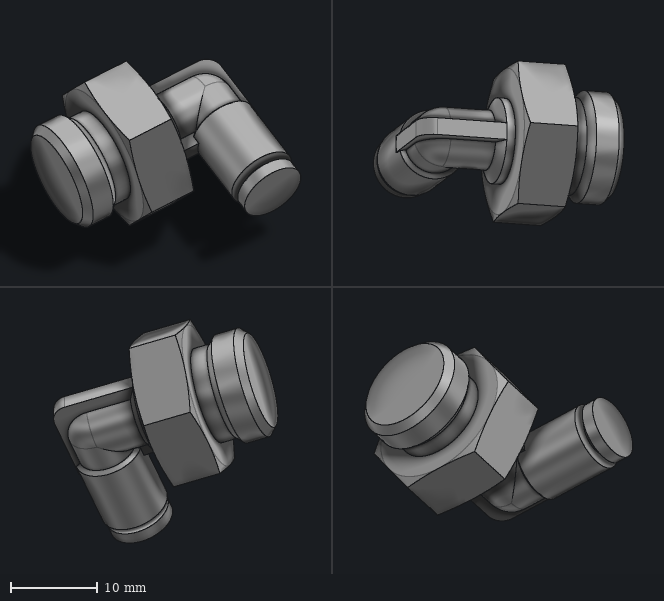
import cadquery as cq
import math


total_length = 24.6
total_depth = 24.4

hex_flats = 17.0
hex_corners = hex_flats / math.cos(math.pi / 6)
hex_front = -13.75
hex_back = -7.3
hex_bevel_angle = 15.0

collar_diameter = 10.0
collar_back = -6.3
elbow_diameter = 7.01
collar_cone_back = -5.41

socket_diameter = 8.2
socket_start = 3.47
socket_end = 12.38
socket_cone_length = 0.37
ring_neck_diameter = 4.8
ring_diameter = 7.7
ring_start = 13.3
ring_end = total_length - hex_corners / 2

thread_diameter = 13.17
neck_diameter = 11.4
thread_chamfer = (thread_diameter - neck_diameter) / 2
thread_front = socket_diameter / 2 - total_depth
thread_back = -15.78

web_thickness = 2.0
web_corner_radius = 2.0


def rod_y(diameter, start, end):
    plane = cq.Workplane("XZ", origin=(0, start, 0))
    return plane.circle(diameter / 2).extrude(start - end)


def rod_x(diameter, start, end):
    plane = cq.Workplane("YZ", origin=(start, 0, 0))
    return plane.circle(diameter / 2).extrude(end - start)


def make_hexagon():
    """Hexagon with both ends turned to a cone that meets the flats circle."""
    prism = (
        cq.Workplane("XZ", origin=(0, hex_front, 0))
        .polygon(6, hex_corners)
        .extrude(hex_front - hex_back)
    )
    flat_radius = hex_flats / 2
    corner_radius = hex_corners / 2
    bevel = (corner_radius - flat_radius) * math.tan(math.radians(hex_bevel_angle))
    turned = (
        cq.Workplane("XY")
        .moveTo(0, hex_front)
        .lineTo(flat_radius, hex_front)
        .lineTo(corner_radius, hex_front + bevel)
        .lineTo(corner_radius, hex_back - bevel)
        .lineTo(flat_radius, hex_back)
        .lineTo(0, hex_back)
        .close()
        .revolve(360, (0, 0, 0), (0, 1, 0))
    )
    return prism.intersect(turned)


def make_threaded_end():
    thread = rod_y(thread_diameter, thread_front, thread_back).edges().chamfer(thread_chamfer)
    return thread.union(rod_y(neck_diameter, thread_back - thread_chamfer, hex_front))


def make_elbow():
    """Collar, cone and two equal cylinders joined by a ball."""
    cone = (
        cq.Workplane("XY")
        .moveTo(0, hex_back)
        .lineTo(collar_diameter / 2, hex_back)
        .lineTo(collar_diameter / 2, collar_back)
        .lineTo(elbow_diameter / 2, collar_cone_back)
        .lineTo(0, collar_cone_back)
        .close()
        .revolve(360, (0, 0, 0), (0, 1, 0))
    )
    stem = rod_y(elbow_diameter, collar_cone_back, 0)
    arm = rod_x(elbow_diameter, 0, socket_start)
    ball = cq.Workplane("XY").sphere(elbow_diameter / 2)
    return cone.union(stem).union(arm).union(ball)


def make_socket():
    cone_end = socket_start + socket_cone_length
    cone = (
        cq.Workplane("XY")
        .moveTo(socket_start, 0)
        .lineTo(socket_start, elbow_diameter / 2)
        .lineTo(cone_end, socket_diameter / 2)
        .lineTo(cone_end, 0)
        .close()
        .revolve(360, (0, 0, 0), (1, 0, 0))
    )
    barrel = rod_x(socket_diameter, cone_end, socket_end)
    ring_neck = rod_x(ring_neck_diameter, socket_end, ring_start)
    ring = rod_x(ring_diameter, ring_start, ring_end)
    return cone.union(barrel).union(ring_neck).union(ring)


def make_web():
    back = socket_diameter / 2
    return (
        cq.Workplane("XY")
        .box(collar_diameter, back - collar_back, web_thickness)
        .translate((0, (back + collar_back) / 2, 0))
        .edges("|Z and <X and >Y")
        .fillet(web_corner_radius)
    )


result = (
    make_hexagon()
    .union(make_threaded_end())
    .union(make_elbow())
    .union(make_socket())
    .union(make_web())
)